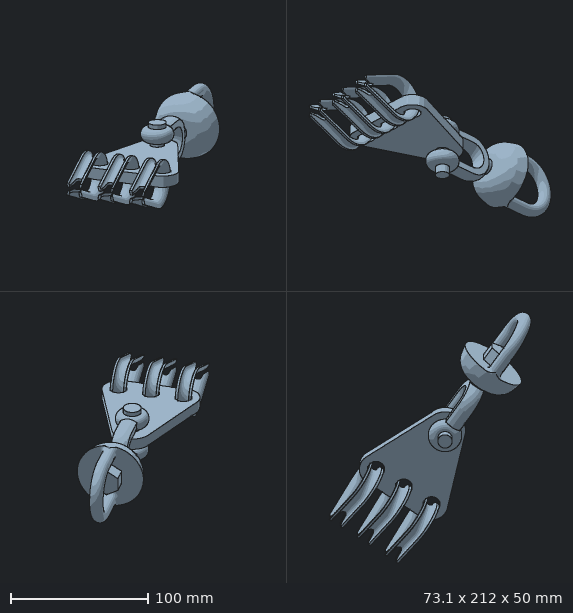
import cadquery as cq
import math


plate_width = 73.1
plate_thickness = 8.7
plate_nose_radius = 15.0
plate_corner_radius = 12.0
hole_spacing = plate_width / 2 - plate_corner_radius
hole_y = -53.2
hole_radius = 6.1
hole_xs = (-hole_spacing, 0, hole_spacing)

thimble_half_width = 6.0
groove_radius = 4.0
ring_radius = 17.8
lip_height = 0.2
ring_y = -70.0
leg_angle = 23.0
tip_y = -104.7
tip_half_gap = 1.38
notch_radius = 2.1
notch_center_y = -95.6
notch_taper = 10.0

pin_radius = 10.4 / 2
pin_head_radius = 6.5
pin_top_z = 21.8
pin_bottom_z = -24.8

boss_radius = 24.4 / 2
boss_height = 11.0
boss_round = 5.0
boss_z = 13.0
clevis_width = 12.3
clevis_bend_y = 25.2
clevis_outer_radius = 17.8
arm_flat_thickness = 5.3
arm_thickness = 9.3
clevis_bend_radius = clevis_outer_radius - arm_thickness / 2
stem_radius = clevis_width / 2

cup_rim_radius = 25.0
cup_rim_y = 62.3
cup_shoulder_drop = 4.5
cup_bottom_y = 44.0
cup_round_radius = 14.2
cup_floor_radius = 9.5

nut_across_corners = 20.0
nut_height = 11.0

wire_radius = 10.0 / 2
eye_bend_radius = cup_rim_radius - wire_radius
eye_bend_y = 82.3
root_fillet = 3.0


def y_plane(y, z=0):
    """Workplane facing +Y, with its local x along -X and its local y along Z."""
    return cq.Workplane(cq.Plane(origin=(0, y, z), xDir=(-1, 0, 0), normal=(0, 1, 0)))


def make_plate():
    """Triangular plate with rounded corners, a pin hole and three thimble holes."""
    lean = math.atan2(hole_spacing, -hole_y)
    taper = math.asin((plate_nose_radius - plate_corner_radius) / math.hypot(hole_spacing, hole_y))
    side_angle = lean + taper
    arc_mid_angle = (side_angle - math.pi / 2) / 2

    def corner_point(angle):
        return (
            hole_spacing + plate_corner_radius * math.cos(angle),
            hole_y + plate_corner_radius * math.sin(angle),
        )

    nose_x = plate_nose_radius * math.cos(side_angle)
    nose_y = plate_nose_radius * math.sin(side_angle)
    side_x, side_y = corner_point(side_angle)
    mid_x, mid_y = corner_point(arc_mid_angle)
    base_y = hole_y - plate_corner_radius
    return (
        cq.Workplane("XY")
        .workplane(offset=-plate_thickness / 2)
        .moveTo(-nose_x, nose_y)
        .threePointArc((0, plate_nose_radius), (nose_x, nose_y))
        .lineTo(side_x, side_y)
        .threePointArc((mid_x, mid_y), (hole_spacing, base_y))
        .lineTo(-hole_spacing, base_y)
        .threePointArc((-mid_x, mid_y), (-side_x, side_y))
        .close()
        .pushPoints([(x, hole_y) for x in hole_xs])
        .circle(hole_radius)
        .pushPoints([(0, 0)])
        .circle(pin_radius)
        .extrude(plate_thickness)
    )


def thimble_channel(x):
    """C-shaped section of a thimble where it passes through the plate, open towards +Y."""
    return (
        cq.Workplane("XY", origin=(x, ring_y + ring_radius, 0))
        .moveTo(thimble_half_width, lip_height)
        .lineTo(thimble_half_width, 0)
        .threePointArc((0, -thimble_half_width), (-thimble_half_width, 0))
        .lineTo(-thimble_half_width, lip_height)
        .lineTo(-groove_radius, lip_height)
        .lineTo(-groove_radius, 0)
        .threePointArc((0, -groove_radius), (groove_radius, 0))
        .lineTo(groove_radius, lip_height)
        .close()
    )


def make_tip_notch(x):
    """Tapered notch with a round end, cut along Z and widening towards the thimble's tip."""
    taper = math.radians(notch_taper)
    side_x = notch_radius * math.cos(taper)
    side_y = notch_radius * math.sin(taper)
    depth = notch_center_y - tip_y
    mouth_x = side_x + (depth + side_y) * math.tan(taper)
    return (
        cq.Workplane("XY", origin=(x, notch_center_y, 0))
        .moveTo(-mouth_x, -depth)
        .lineTo(-side_x, side_y)
        .threePointArc((0, notch_radius), (side_x, side_y))
        .lineTo(mouth_x, -depth)
        .close()
        .extrude(ring_radius)
    )


def make_thimble(x):
    """Teardrop thimble through a plate hole: a bent channel with two trimmed, notched legs."""
    half_turn = 90 + leg_angle
    bend = thimble_channel(x).revolve(half_turn, (0, -ring_radius, 0), (1, -ring_radius, 0))

    long_leg = 2 * (ring_y - tip_y)
    leg = thimble_channel(x).extrude(long_leg)
    leg = leg.rotate((0, ring_y, 0), (1, ring_y, 0), half_turn)
    leg_space = cq.Workplane("XY", origin=(x, tip_y, tip_half_gap)).box(
        4 * thimble_half_width, long_leg, long_leg, centered=(True, False, False)
    )
    upper_half = bend.union(leg.intersect(leg_space).cut(make_tip_notch(x)))
    return upper_half.union(upper_half.mirror("XY"))


def make_pin():
    """Clevis pin with a wider head at its top."""
    shaft = (
        cq.Workplane("XY", origin=(0, 0, pin_bottom_z))
        .circle(pin_radius)
        .extrude(pin_top_z - pin_bottom_z)
    )
    head = (
        cq.Workplane("XY", origin=(0, 0, boss_z))
        .circle(pin_head_radius)
        .extrude(pin_top_z - boss_z)
    )
    return shaft.union(head)


def arm_section(z):
    """Clevis arm section at the bend: flat sides, bulged inner and outer faces."""
    half_width = clevis_width / 2
    half_flat = arm_flat_thickness / 2
    half_thickness = arm_thickness / 2
    return (
        y_plane(clevis_bend_y, z)
        .moveTo(half_width, -half_flat)
        .lineTo(half_width, half_flat)
        .threePointArc((0, half_thickness), (-half_width, half_flat))
        .lineTo(-half_width, -half_flat)
        .threePointArc((0, -half_thickness), (half_width, -half_flat))
        .close()
    )


def make_clevis():
    """U-shaped clevis with a round boss at each end and a stem at its crown."""
    clevis = arm_section(clevis_bend_radius).revolve(
        180, (0, -clevis_bend_radius, 0), (1, -clevis_bend_radius, 0)
    )
    for side in (-1, 1):
        arm = arm_section(side * clevis_bend_radius).extrude(-clevis_bend_y)
        boss = (
            cq.Workplane("XY", origin=(0, 0, side * boss_z - boss_height / 2))
            .circle(boss_radius)
            .extrude(boss_height)
            .edges()
            .fillet(boss_round)
        )
        clevis = clevis.union(arm).union(boss)
    crown_y = clevis_bend_y + clevis_bend_radius
    stem = y_plane(crown_y).circle(stem_radius).extrude(cup_rim_y - crown_y)
    return clevis.union(stem)


def make_cup():
    """Solid cup turned about Y: flat floor, large round and a flared wall up to the rim."""
    round_center_y = cup_bottom_y + cup_round_radius
    shoulder_angle = math.asin(cup_shoulder_drop / cup_round_radius)
    mid_angle = (shoulder_angle + math.pi / 2) / 2

    def round_point(angle):
        return (
            cup_floor_radius + cup_round_radius * math.cos(angle),
            round_center_y - cup_round_radius * math.sin(angle),
        )

    return (
        cq.Workplane("XY")
        .moveTo(0, cup_bottom_y)
        .lineTo(cup_floor_radius, cup_bottom_y)
        .threePointArc(round_point(mid_angle), round_point(shoulder_angle))
        .tangentArcPoint((cup_rim_radius, cup_rim_y), relative=False)
        .lineTo(0, cup_rim_y)
        .close()
        .revolve(360, (0, 0, 0), (0, 1, 0))
    )


def make_nut():
    """Hexagonal nut on the cup's rim face, with corners pointing up and down."""
    return (
        y_plane(cup_rim_y)
        .transformed(rotate=(0, 0, 90))
        .polygon(6, nut_across_corners)
        .extrude(nut_height)
    )


def make_eye():
    """U-shaped wire eye whose two ends flare into the rim face of the cup."""
    eye = (
        y_plane(eye_bend_y, eye_bend_radius)
        .circle(wire_radius)
        .revolve(180, (0, -eye_bend_radius, 0), (1, -eye_bend_radius, 0))
    )
    rim_space = y_plane(cup_rim_y).circle(cup_rim_radius).extrude(root_fillet)
    fillet_bulge = root_fillet * (1 - math.sqrt(0.5))
    for side in (-1, 1):
        wire_z = side * eye_bend_radius
        leg = y_plane(cup_rim_y, wire_z).circle(wire_radius).extrude(eye_bend_y - cup_rim_y)
        flare = (
            cq.Workplane("XY", origin=(0, cup_rim_y, wire_z))
            .lineTo(wire_radius + root_fillet, 0)
            .threePointArc((wire_radius + fillet_bulge, fillet_bulge), (wire_radius, root_fillet))
            .lineTo(0, root_fillet)
            .close()
            .revolve(360, (0, 0, 0), (0, 1, 0))
        )
        eye = eye.union(leg).union(flare.intersect(rim_space))
    return eye


def make_swivel():
    """Swivel in one piece: clevis with its pin, cup, nut and eye."""
    return make_clevis().union(make_pin()).union(make_cup()).union(make_nut()).union(make_eye())


swivel = make_swivel()
plate = make_plate()
thimbles = [make_thimble(x) for x in hole_xs]

result = cq.Compound.makeCompound(
    [
        swivel.solids().val(),
        plate.solids().val(),
        *[thimble.solids().val() for thimble in thimbles],
    ]
)